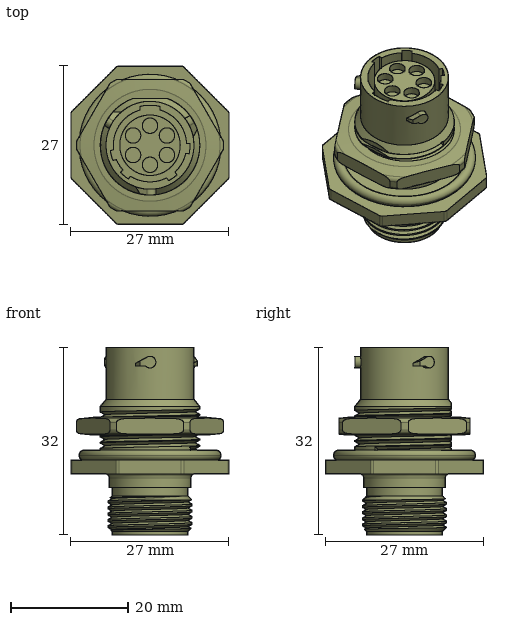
import cadquery as cq
import math

total_height = 32.0
rear_thread_bottom = 0.65
rear_thread_top = 6.7
shoulder_bottom = 8.1
flange_bottom = 10.45
flange_top = 12.77
cone_bottom = 21.92
barrel_bottom = 23.15

rear_radius = 6.45
rear_thread_radius = 7.17
shoulder_radius = 6.98
neck_radius = 8.48
barrel_radius = 7.5

shoulder_fillet = 0.7
neck_flat_distance = 7.97

flange_width = 26.98
flange_corner_radius = 0.7
ring_radius = 11.2
ring_section_radius = 0.9
ring_sink = 0.05
face_radius = ring_radius - ring_section_radius + ring_sink
face_top = 14.0

thread_pitch = 1.05
flank_angle = 30.0
groove_overshoot = 0.03
neck_root_radius = 7.68
neck_groove_top = 21.57
neck_groove_turns = 6.6
rear_root_radius = 6.5
rear_groove_bottom = 0.4
rear_groove_turns = 6.0

nut_width = 22.35
nut_corner_radius = 12.55
nut_bottom = 17.02
nut_top = 20.1
nut_face_radius = 9.55
nut_face_drop = 0.25
nut_edge_radius = 0.65

socket_radius = 6.25
socket_floor = barrel_bottom
insert_radius = 5.15
insert_top = 31.17
contact_count = 6
contact_circle_radius = 3.33
contact_radius = 1.3
contact_depth = 1.38

keyway_radius = 6.8
main_key_width = 3.4
minor_key_width = 1.73
keyways = [(90, main_key_width), (-5, minor_key_width), (-55, minor_key_width),
           (-130, minor_key_width), (-165, minor_key_width)]

pin_count = 3
pin_height = 29.47
pin_radius = 1.0
pin_end_radius = 8.48
pin_root_radius = 6.88
tail_length = 2.5
tail_top = -0.22
tail_bottom = -0.67
ramp_outer_x = -1.6
ramp_inner_x = -2.55


def cylinder(radius, bottom, top):
    return cq.Workplane("XY").workplane(offset=bottom).circle(radius).extrude(top - bottom)


def body():
    """Turned body from the rear thread up to the barrel, without the octagon."""
    thread_chamfer = rear_thread_radius - rear_radius
    return (
        cq.Workplane("XZ")
        .lineTo(rear_radius, 0)
        .lineTo(rear_radius, rear_thread_bottom)
        .lineTo(rear_thread_radius, rear_thread_bottom + thread_chamfer)
        .lineTo(rear_thread_radius, rear_thread_top - thread_chamfer)
        .lineTo(rear_radius, rear_thread_top)
        .lineTo(rear_radius, shoulder_bottom)
        .lineTo(shoulder_radius, shoulder_bottom)
        .lineTo(shoulder_radius, flange_bottom - shoulder_fillet)
        .radiusArc((shoulder_radius + shoulder_fillet, flange_bottom), shoulder_fillet)
        .lineTo(face_radius, flange_bottom)
        .lineTo(face_radius, face_top)
        .lineTo(neck_radius, face_top)
        .lineTo(neck_radius, cone_bottom)
        .lineTo(barrel_radius, barrel_bottom)
        .lineTo(barrel_radius, total_height)
        .lineTo(0, total_height)
        .close()
        .revolve(360, (0, 0, 0), (0, 1, 0))
    )


def neck_flat_cutter():
    depth = neck_radius - neck_flat_distance
    return (
        cq.Workplane("XY")
        .workplane(offset=face_top)
        .center(0, neck_flat_distance + depth / 2)
        .rect(2 * neck_radius, depth)
        .extrude(barrel_bottom - face_top)
    )


def thread_groove(crest_radius, root_radius, start_height, turns, start_angle):
    """Right-handed V groove climbing from its start height and angle."""
    outer_radius = crest_radius + groove_overshoot
    half_width = (outer_radius - root_radius) * math.tan(math.radians(flank_angle))
    helix = cq.Wire.makeHelix(thread_pitch, turns * thread_pitch, root_radius)
    return (
        cq.Workplane("XZ")
        .moveTo(root_radius, 0)
        .lineTo(outer_radius, half_width)
        .lineTo(outer_radius, -half_width)
        .close()
        .sweep(cq.Workplane(helix), isFrenet=True)
        .rotate((0, 0, 0), (0, 0, 1), start_angle)
        .translate((0, 0, start_height))
    )


def flange():
    return (
        cq.Workplane("XY")
        .workplane(offset=flange_bottom)
        .polygon(8, flange_width, circumscribed=True)
        .extrude(flange_top - flange_bottom)
        .edges("|Z")
        .fillet(flange_corner_radius)
    )


def o_ring():
    center_height = flange_top + ring_section_radius - ring_sink
    return (
        cq.Workplane("XZ")
        .center(ring_radius, center_height)
        .circle(ring_section_radius)
        .revolve(360, (-ring_radius, 0, 0), (-ring_radius, 1, 0))
    )


def nut():
    """Hexagon trimmed by a turned envelope with sloped faces and rounded edges."""
    low_edge = nut_bottom + nut_face_drop
    high_edge = nut_top - nut_face_drop
    edge_start = nut_corner_radius - nut_edge_radius
    envelope = (
        cq.Workplane("XZ")
        .moveTo(0, nut_bottom)
        .lineTo(nut_face_radius, nut_bottom)
        .lineTo(edge_start, low_edge)
        .radiusArc((nut_corner_radius, low_edge + nut_edge_radius), -nut_edge_radius)
        .lineTo(nut_corner_radius, high_edge - nut_edge_radius)
        .radiusArc((edge_start, high_edge), -nut_edge_radius)
        .lineTo(nut_face_radius, nut_top)
        .lineTo(0, nut_top)
        .close()
        .revolve(360, (0, 0, 0), (0, 1, 0))
    )
    hexagon = (
        cq.Workplane("XY")
        .workplane(offset=nut_bottom)
        .polygon(6, nut_width / math.cos(math.pi / 6))
        .extrude(nut_top - nut_bottom)
    )
    return hexagon.intersect(envelope)


def socket_cutter():
    """Annular socket with keyways, leaving the insert and its contact holes."""
    cutter = cylinder(socket_radius, socket_floor, total_height)
    for angle, width in keyways:
        keyway = (
            cq.Workplane("XY")
            .workplane(offset=socket_floor)
            .center(keyway_radius / 2, 0)
            .rect(keyway_radius, width)
            .extrude(total_height - socket_floor)
            .intersect(cylinder(keyway_radius, socket_floor, total_height))
            .rotate((0, 0, 0), (0, 0, 1), angle)
        )
        cutter = cutter.union(keyway)
    contact_holes = (
        cq.Workplane("XY")
        .workplane(offset=insert_top - contact_depth)
        .polarArray(contact_circle_radius, 90, 360, contact_count)
        .circle(contact_radius)
        .extrude(contact_depth)
    )
    insert = cylinder(insert_radius, socket_floor, insert_top).cut(contact_holes)
    return cutter.cut(insert)


def bayonet_pin():
    """Round pin on the -Y side with a tapered tail that ramps down toward -X."""
    reach = pin_end_radius - pin_root_radius
    tip_distance = math.hypot(tail_length, tail_top)
    tangent_angle = math.atan2(tail_top, -tail_length) - math.acos(pin_radius / tip_distance)
    tangent_point = (pin_radius * math.cos(tangent_angle), pin_radius * math.sin(tangent_angle))
    side = cq.Workplane("XZ", origin=(0, -pin_root_radius, pin_height))
    tail = (
        side.polyline([tangent_point, (-tail_length, tail_top), (-tail_length, tail_bottom),
                       (0, tail_bottom)])
        .close()
        .extrude(reach)
    )
    footprint = (
        cq.Workplane("XY")
        .workplane(offset=pin_height - pin_radius)
        .moveTo(pin_radius, -pin_root_radius)
        .lineTo(pin_radius, -pin_end_radius)
        .lineTo(ramp_outer_x, -pin_end_radius)
        .lineTo(ramp_inner_x, -pin_root_radius)
        .close()
        .extrude(2 * pin_radius)
    )
    end_cylinder = cylinder(pin_end_radius, pin_height - pin_radius, pin_height + pin_radius)
    pin = side.circle(pin_radius).extrude(reach).union(tail)
    return pin.intersect(footprint).intersect(end_cylinder)


neck_groove_start_angle = 180 - 360 * neck_groove_turns
neck_groove_bottom = neck_groove_top - neck_groove_turns * thread_pitch
neck_groove = thread_groove(neck_radius, neck_root_radius, neck_groove_bottom,
                            neck_groove_turns, neck_groove_start_angle)
rear_groove = thread_groove(rear_thread_radius, rear_root_radius, rear_groove_bottom,
                            rear_groove_turns, 0)

result = body().cut(neck_groove).cut(rear_groove).cut(neck_flat_cutter())
result = result.union(flange()).union(o_ring()).union(nut()).cut(socket_cutter())
for index in range(pin_count):
    pin_angle = index * 360 / pin_count
    result = result.union(bayonet_pin().rotate((0, 0, 0), (0, 0, 1), pin_angle))